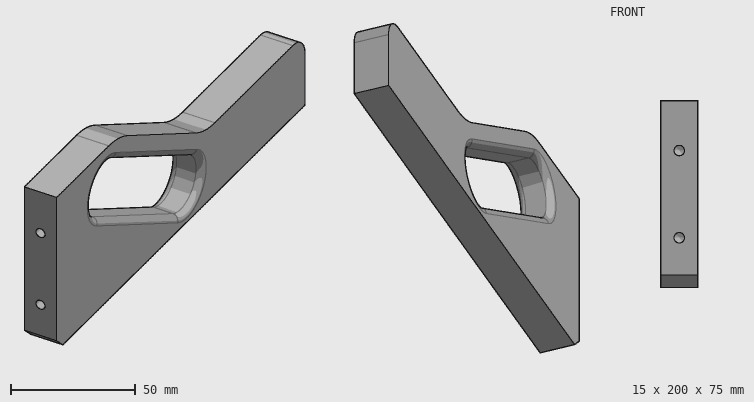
import cadquery as cq
import math

thickness = 15.0
length = 200.0
tall_height = 75.0
low_height = 35.0

slope_angle = 30.0
slope_start_y = 50.0
slope_run = (tall_height - low_height) / math.tan(math.radians(slope_angle))
slope_end_y = slope_start_y + slope_run
bend_radius = 30.0
rear_corner_radius = 10.0
front_chamfer = 5.0

slot_radius = 12.5
rim_radius = 3.0
slot_upper_y = 40.0
slot_upper_z = 55.0
slot_spacing = 75.0

hole_diameter = 4.2
hole_depth = 20.0
drill_tip_angle = 118.0
hole_heights = (20.0, 55.0)


def make_plate():
    plate = (
        cq.Workplane("YZ")
        .moveTo(0, 0)
        .lineTo(length, 0)
        .lineTo(length, low_height)
        .lineTo(slope_end_y, low_height)
        .lineTo(slope_start_y, tall_height)
        .lineTo(0, tall_height)
        .close()
        .extrude(thickness / 2, both=True)
    )
    bend_points = ((slope_start_y, tall_height), (slope_end_y, low_height))
    for y, z in bend_points:
        plate = plate.edges(cq.NearestToPointSelector((0, y, z))).fillet(bend_radius)
    rear_corner = cq.NearestToPointSelector((0, length, low_height))
    plate = plate.edges(rear_corner).fillet(rear_corner_radius)
    front_corner = cq.NearestToPointSelector((0, 0, 0))
    return plate.edges(front_corner).chamfer(front_chamfer)


def cut_slot(plate):
    """Cut the slanted slot through the plate and round its rim on both sides."""
    angle = math.radians(slope_angle)
    centre_y = slot_upper_y + slot_spacing / 2 * math.cos(angle)
    centre_z = slot_upper_z - slot_spacing / 2 * math.sin(angle)
    slot = (
        cq.Workplane("YZ")
        .center(centre_y, centre_z)
        .slot2D(slot_spacing + 2 * slot_radius, 2 * slot_radius, -slope_angle)
        .extrude(thickness / 2, both=True)
    )
    plate = plate.cut(slot)
    for side in (">X", "<X"):
        rim = plate.faces(side).val().innerWires()
        plate = plate.newObject(rim).edges().fillet(rim_radius)
    return plate


def cut_front_holes(plate):
    """Drill the blind holes, each ending in a conical drill tip."""
    radius = hole_diameter / 2
    tip_length = radius / math.tan(math.radians(drill_tip_angle / 2))
    for z in hole_heights:
        hole = (
            cq.Workplane("XY", origin=(0, 0, z))
            .lineTo(radius, 0)
            .lineTo(radius, hole_depth)
            .lineTo(0, hole_depth + tip_length)
            .close()
            .revolve(360, (0, 0), (0, 1))
        )
        plate = plate.cut(hole)
    return plate


result = cut_front_holes(cut_slot(make_plate()))